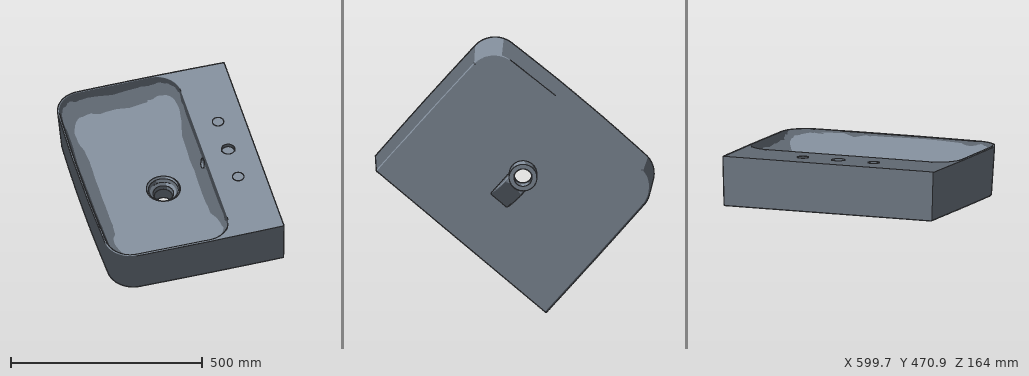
import cadquery as cq
import math


DECK_BACK_HALF = 297.5
DECK_HALF_WIDTH = 299.79
DECK_FRONT = 471.05
BODY_HEIGHT = 130.5
SIDE_DRAFT = 5.0
BACK_DRAFT = 3.5
FRONT_DRAFT = 10.0
SIDE_BOW_Y = -190.0
SIDE_FRONT_NARROWING = 2.0
FRONT_BOW = 8.0
CORNER_RADIUS = 69.0
TOP_EDGE_RADIUS = 1.5
BOTTOM_EDGE_RADIUS = 4.0

WALL = 5.0
BOWL_HALF_WIDTH = DECK_HALF_WIDTH - WALL
BOWL_BACK = 135.0
BOWL_FRONT = DECK_FRONT - WALL
BOWL_CORNER_RADIUS = 64.0
BOWL_DEPTH = 103.5
BOWL_FLOOR_HALF = 40.0
BOWL_FLOOR_BOW = 1.0
BOWL_FLOOR_CORNER_RADIUS = 38.0
BOWL_EXTRA_ROUNDING = 100.0
BOWL_STEPS = 8
RIM_RADIUS = 1.0

DRAIN_Y = -245.0
DRAIN_OUTER_RADIUS = 36.3
DRAIN_BORE_RADIUS = 23.5
DRAIN_BOTTOM = -164.04
SEAT_TOP = -103.2
SEAT_STEPS = ((44.5, 0.0), (39.0, 4.5), (34.0, 12.5), (27.0, 18.5), (DRAIN_BORE_RADIUS, 28.0))

CHANNEL_HALF_WIDTH = 29.0
CHANNEL_BACK = -149.0
CHANNEL_MIDDLE = (-180.0, -153.0)
CHANNEL_END = (-222.0, -161.0)
CHANNEL_EDGE_RADIUS = 4.0
OVERFLOW_RADIUS = 13.0
OVERFLOW_Z = -34.5
OVERFLOW_END_Y = -131.0

TAP_Y = -70.0
TAP_RADIUS = 17.5
TAP_DEPTH = 10.0
SIDE_TAP_SPACING = 100.0
SIDE_TAP_RADIUS = 15.0
SIDE_TAP_MARK_DEPTH = 0.5


def body_outline(z, back_half, half_width, front):
    """Outline with bowed sides and front, square back corners and round front corners."""
    front_half = half_width - SIDE_FRONT_NARROWING
    front_corner_y = FRONT_BOW - front
    wire = (
        cq.Workplane("XY", origin=(0, 0, z))
        .moveTo(back_half, 0)
        .lineTo(-back_half, 0)
        .threePointArc((-half_width, SIDE_BOW_Y), (-front_half, front_corner_y))
        .threePointArc((0, -front), (front_half, front_corner_y))
        .threePointArc((half_width, SIDE_BOW_Y), (back_half, 0))
        .close()
        .val()
    )
    front_corners = [v for v in wire.Vertices() if v.Y < SIDE_BOW_Y]
    return wire.fillet2D(CORNER_RADIUS, front_corners)


def make_body():
    bottom = body_outline(
        -BODY_HEIGHT,
        DECK_BACK_HALF - BACK_DRAFT,
        DECK_HALF_WIDTH - SIDE_DRAFT,
        DECK_FRONT - FRONT_DRAFT,
    )
    top = body_outline(0, DECK_BACK_HALF, DECK_HALF_WIDTH, DECK_FRONT)
    body = cq.Workplane(cq.Solid.makeLoft([bottom, top], True))
    body = body.faces("<Z").edges("not >Y").fillet(BOTTOM_EDGE_RADIUS)
    return body.faces(">Z").edges("not >Y").fillet(TOP_EDGE_RADIUS)


def blend(at_floor, at_rim, share):
    return at_floor + (at_rim - at_floor) * share


def bowl_section(angle):
    """Level curve of the bowl, shrinking on a quarter ellipse from the rim to a round floor."""
    share = math.cos(angle)
    half = blend(BOWL_FLOOR_HALF, BOWL_HALF_WIDTH, share)
    front_half = half - SIDE_FRONT_NARROWING * share
    back_y = blend(DRAIN_Y + BOWL_FLOOR_HALF, -BOWL_BACK, share)
    front_y = blend(DRAIN_Y - BOWL_FLOOR_HALF, -BOWL_FRONT, share)
    front_corner_y = front_y + blend(BOWL_FLOOR_BOW, FRONT_BOW, share)
    radius = blend(BOWL_FLOOR_CORNER_RADIUS, BOWL_CORNER_RADIUS, share)
    radius += BOWL_EXTRA_ROUNDING * share * (1 - share)
    wire = (
        cq.Workplane("XY", origin=(0, 0, -BOWL_DEPTH * math.sin(angle)))
        .moveTo(half, back_y)
        .lineTo(-half, back_y)
        .lineTo(-front_half, front_corner_y)
        .threePointArc((0, front_y), (front_half, front_corner_y))
        .close()
        .val()
    )
    return wire.fillet2D(radius, wire.Vertices())


def make_bowl():
    angles = [math.pi / 2 * step / BOWL_STEPS for step in range(BOWL_STEPS + 1)]
    return cq.Workplane(cq.Solid.makeLoft([bowl_section(angle) for angle in angles]))


def make_channel():
    """Overflow channel that curves down from the underside into the drain."""
    channel = (
        cq.Workplane("YZ", origin=(-CHANNEL_HALF_WIDTH, 0, 0))
        .moveTo(CHANNEL_BACK, -BODY_HEIGHT)
        .threePointArc(CHANNEL_MIDDLE, CHANNEL_END)
        .lineTo(DRAIN_Y, CHANNEL_END[1])
        .lineTo(DRAIN_Y, -BODY_HEIGHT)
        .close()
        .extrude(2 * CHANNEL_HALF_WIDTH)
    )
    under_edges = cq.selectors.BoxSelector(
        (-2 * CHANNEL_HALF_WIDTH, DRAIN_Y, DRAIN_BOTTOM),
        (2 * CHANNEL_HALF_WIDTH, CHANNEL_BACK, -BODY_HEIGHT - CHANNEL_EDGE_RADIUS),
    )
    return channel.edges(under_edges).edges("<X or >X").fillet(CHANNEL_EDGE_RADIUS)


def make_drain_pipe():
    return (
        cq.Workplane("XY", origin=(0, DRAIN_Y, DRAIN_BOTTOM))
        .circle(DRAIN_OUTER_RADIUS)
        .extrude(-BODY_HEIGHT - DRAIN_BOTTOM)
    )


def make_drain_bore():
    """Stepped seat narrowing into the straight bore through the drain pipe."""
    seat = [(radius, SEAT_TOP - drop) for radius, drop in SEAT_STEPS]
    return (
        cq.Workplane("XZ", origin=(0, DRAIN_Y, 0))
        .moveTo(0, SEAT_TOP)
        .polyline(seat, includeCurrent=True)
        .lineTo(DRAIN_BORE_RADIUS, DRAIN_BOTTOM)
        .lineTo(0, DRAIN_BOTTOM)
        .close()
        .revolve(360, (0, 0, 0), (0, 1, 0))
    )


def make_overflow_hole():
    return (
        cq.Workplane("XZ", origin=(0, OVERFLOW_END_Y, OVERFLOW_Z))
        .circle(OVERFLOW_RADIUS)
        .extrude(OVERFLOW_END_Y - DRAIN_Y)
    )


def make_tap_hole(x, radius, depth):
    return cq.Workplane("XY", origin=(x, TAP_Y, 0)).circle(radius).extrude(-depth)


def round_rim(basin):
    """Round the edge where the bowl meets the deck."""
    rim_zone = cq.selectors.BoxSelector(
        (-BOWL_HALF_WIDTH - RIM_RADIUS, -BOWL_FRONT - RIM_RADIUS, -RIM_RADIUS),
        (BOWL_HALF_WIDTH + RIM_RADIUS, -BOWL_BACK + RIM_RADIUS, RIM_RADIUS),
        True,
    )
    return basin.faces(">Z").edges(rim_zone).fillet(RIM_RADIUS)


basin = round_rim(make_body().cut(make_bowl()))
basin = basin.union(make_channel()).union(make_drain_pipe())
basin = basin.cut(make_drain_bore()).cut(make_overflow_hole())
basin = basin.cut(make_tap_hole(0, TAP_RADIUS, TAP_DEPTH))
for side in (-1, 1):
    basin = basin.cut(make_tap_hole(side * SIDE_TAP_SPACING, SIDE_TAP_RADIUS, SIDE_TAP_MARK_DEPTH))

result = basin